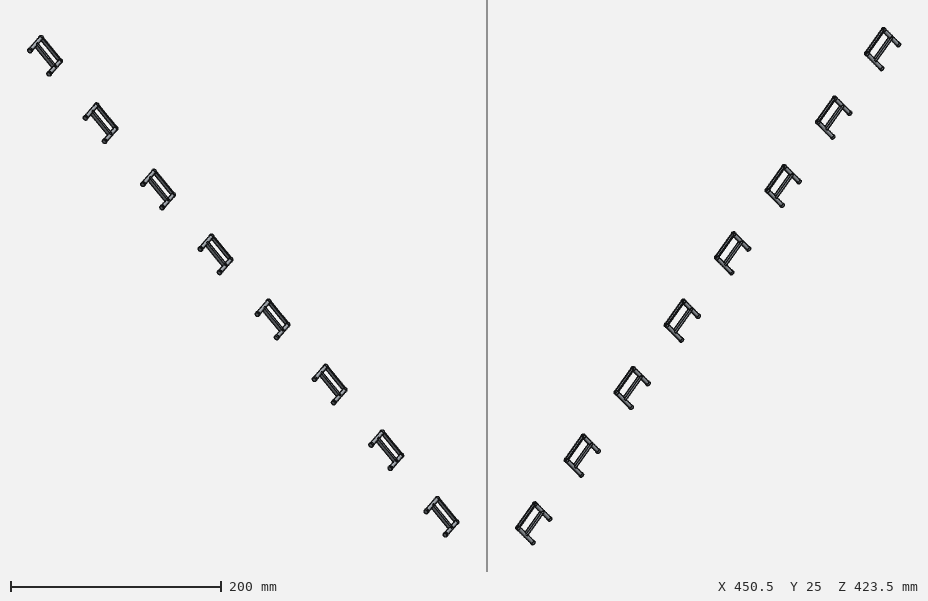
import cadquery as cq
import math

DEPTH = 25.0
LEG_SPACING = 29.05
TILT = 45

HEAD_DIAMETER = 4.25
HEAD_LENGTH = 3.05
HEAD_CHAMFER = 1.0
SHAFT_DIAMETER = 3.85
FOOT_DIAMETER = 4.32
FOOT_LENGTH = 2.03

BAR_THICKNESS = 2.48
BAR_WIDTH = 3.5
BAR_CHAMFER = 1.13

RUNG_THICKNESS = 2.3
RUNG_WIDTH = 4.0
RUNG_OFFSET = -0.5

ROW_LENGTH = 450.5
ROW_HEIGHT = 423.5
END_REACH = LEG_SPACING / 2 * math.cos(math.radians(TILT)) + FOOT_DIAMETER / 2
END_X = ROW_LENGTH / 2 - END_REACH
END_Z = ROW_HEIGHT / 2 - END_REACH
INNER_CENTRES = [(-153.0, 140.0), (-91.5, 83.0), (-29.5, 27.5), (31.5, -28.5), (92.8, -84.0), (153.5, -141.0)]
FRAME_CENTRES = [(-END_X, END_Z), *INNER_CENTRES, (END_X, -END_Z)]

BACK_Y = DEPTH / 2
FRONT_Y = -DEPTH / 2


def leg_section(diameter, start_y, end_y):
    """Cylinder along Y between two Y positions."""
    return cq.Workplane("XZ", origin=(0, end_y, 0)).circle(diameter / 2).extrude(end_y - start_y)


def make_leg(x):
    """Stepped round leg with a chamfered head."""
    shaft_start = FRONT_Y + FOOT_LENGTH
    shaft_end = BACK_Y - HEAD_LENGTH
    head = leg_section(HEAD_DIAMETER, shaft_end, BACK_Y).faces(">Y").edges().chamfer(HEAD_CHAMFER)
    shaft = leg_section(SHAFT_DIAMETER, shaft_start, shaft_end)
    foot = leg_section(FOOT_DIAMETER, FRONT_Y, shaft_start)
    return shaft.union(head).union(foot).translate((x, 0, 0))


def make_end_bar():
    """Bar joining the two heads, chamfered along its outer edges."""
    bar = cq.Workplane("XY").box(LEG_SPACING, BAR_THICKNESS, BAR_WIDTH)
    bar = bar.faces(">Y").edges("|X").chamfer(BAR_CHAMFER)
    return bar.translate((0, BACK_Y - BAR_THICKNESS / 2, 0))


def make_rung():
    """Plain rectangular rung joining the two shafts."""
    return cq.Workplane("XY").box(LEG_SPACING, RUNG_THICKNESS, RUNG_WIDTH).translate((0, RUNG_OFFSET, 0))


def make_frame(x, z):
    """One complete frame, tilted and moved to its place in the row."""
    frame = make_end_bar().union(make_rung())
    for leg_x in (-LEG_SPACING / 2, LEG_SPACING / 2):
        frame = frame.union(make_leg(leg_x))
    return frame.rotate((0, 0, 0), (0, 1, 0), TILT).translate((x, 0, z))


frames = [make_frame(x, z) for x, z in FRAME_CENTRES]
result = cq.Compound.makeCompound([frame.val() for frame in frames])